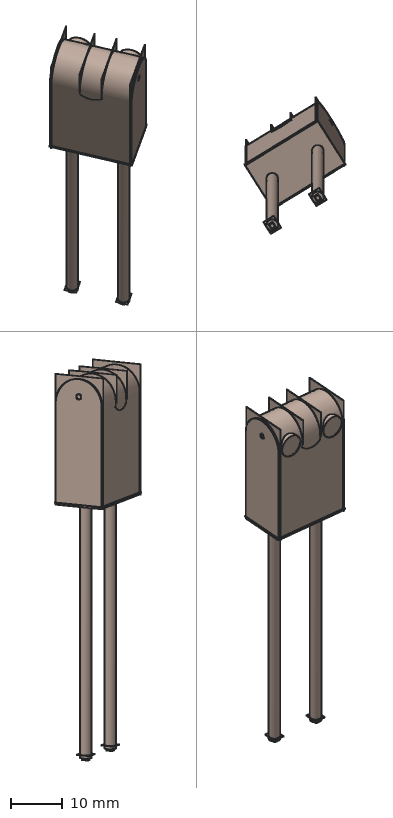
import cadquery as cq

TOTAL_HEIGHT = 76.4
HOUSING_LENGTH = 16.6
HOUSING_DEPTH = 9.9
HOUSING_BOTTOM = 50.6
DOME_SHOULDER_Z = 71.2
DOME_RISE = 4.65

FLANGE_THICKNESS = 0.1
ENVELOPE_LENGTH = 16.65
ENVELOPE_DEPTH = 10.4
END_INSET = 0.4
END_FLANGE_X = ENVELOPE_LENGTH / 2 - END_INSET
FLOOR_FLANGE_Z = HOUSING_BOTTOM + END_INSET

DIMPLE_RADIUS = 0.5
DIMPLE_DEPTH = 0.3
DIMPLE_Z = 72.35

BOSS_RADIUS = 2.3
BOSS_Z = 71.4

STRAP_WIDTH = 4.5
STRAP_THICKNESS = 0.4
STRAP_FLANGE_TOP = 76.1
TONGUE_SHOULDER_Z = 69.7
TONGUE_TIP_Z = 68.75
STRAP_FLANGE_BOTTOM = 70.6

WIRE_SPACING = 10.4
SHEATH_RADIUS = 1.15
SHEATH_BOTTOM = 0.45
CONDUCTOR_RADIUS = 0.45
COLLAR_Z = 1.1
COLLAR_LENGTH = 2.4
COLLAR_DEPTH = 2.75
FOOT_LENGTH = 0.9
FOOT_DEPTH = 1.3

WIRE_POSITIONS = [-WIRE_SPACING / 2, WIRE_SPACING / 2]


def plate(size_x, size_y, size_z, x, z_bottom):
    """Rectangular block centred on (x, 0) and standing on z_bottom."""
    return cq.Workplane("XY", origin=(x, 0, z_bottom)).rect(size_x, size_y).extrude(size_z)


def arch(inset, length, z_bottom):
    """Block with a domed top, running along X and set in from the housing's outline by inset."""
    half_depth = HOUSING_DEPTH / 2 - inset
    crown_z = DOME_SHOULDER_Z + DOME_RISE - inset
    return (
        cq.Workplane("YZ", origin=(-length / 2, 0, 0))
        .moveTo(-half_depth, z_bottom)
        .lineTo(-half_depth, DOME_SHOULDER_Z)
        .threePointArc((0, crown_z), (half_depth, DOME_SHOULDER_Z))
        .lineTo(half_depth, z_bottom)
        .close()
        .extrude(length)
    )


def make_strap():
    """Inverted U over the dome with a rounded tongue front and back."""
    half_width = STRAP_WIDTH / 2
    band = arch(0, STRAP_WIDTH, TONGUE_TIP_Z)
    band = band.cut(arch(STRAP_THICKNESS, STRAP_WIDTH, TONGUE_TIP_Z))
    outline = (
        cq.Workplane("XZ", origin=(0, ENVELOPE_DEPTH / 2, 0))
        .moveTo(-half_width, TOTAL_HEIGHT)
        .lineTo(-half_width, TONGUE_SHOULDER_Z)
        .threePointArc((0, TONGUE_TIP_Z), (half_width, TONGUE_SHOULDER_Z))
        .lineTo(half_width, TOTAL_HEIGHT)
        .close()
        .extrude(ENVELOPE_DEPTH)
    )
    strap = band.intersect(outline)
    flange_height = STRAP_FLANGE_TOP - STRAP_FLANGE_BOTTOM
    core = arch(STRAP_THICKNESS, HOUSING_LENGTH, HOUSING_BOTTOM)
    for side in (-1, 1):
        flange_x = side * (half_width - FLANGE_THICKNESS / 2)
        flange = plate(FLANGE_THICKNESS, ENVELOPE_DEPTH, flange_height, flange_x, STRAP_FLANGE_BOTTOM)
        strap = strap.union(flange.cut(core))
    return strap


def make_housing(strap):
    """Domed block with flanges, back bosses, end dimples and a recess for the strap."""
    housing = arch(0, HOUSING_LENGTH, HOUSING_BOTTOM)
    for x in WIRE_POSITIONS:
        boss = cq.Workplane("XZ", origin=(x, 0, BOSS_Z)).circle(BOSS_RADIUS).extrude(-ENVELOPE_DEPTH / 2)
        housing = housing.union(boss)
    end_height = TOTAL_HEIGHT - HOUSING_BOTTOM
    for side in (-1, 1):
        end_flange = plate(FLANGE_THICKNESS, ENVELOPE_DEPTH, end_height, side * END_FLANGE_X, HOUSING_BOTTOM)
        housing = housing.union(end_flange)
    housing = housing.union(plate(ENVELOPE_LENGTH, ENVELOPE_DEPTH, FLANGE_THICKNESS, 0, FLOOR_FLANGE_Z))
    for side in (-1, 1):
        dimple = (
            cq.Workplane("YZ", origin=(side * HOUSING_LENGTH / 2, 0, DIMPLE_Z))
            .circle(DIMPLE_RADIUS)
            .extrude(-side * DIMPLE_DEPTH)
        )
        housing = housing.cut(dimple)
    return housing.cut(strap)


def make_conductor(x):
    """Bare core of a wire, running up to the housing, with a thin foot at its tip."""
    core = cq.Workplane("XY", origin=(x, 0, 0)).circle(CONDUCTOR_RADIUS).extrude(HOUSING_BOTTOM)
    return core.union(plate(FOOT_LENGTH, FOOT_DEPTH, FLANGE_THICKNESS, x, 0))


def make_sheath(x):
    """Insulating tube around a conductor, with a thin rectangular collar near its lower end."""
    tube = (
        cq.Workplane("XY", origin=(x, 0, SHEATH_BOTTOM))
        .circle(SHEATH_RADIUS)
        .extrude(HOUSING_BOTTOM - SHEATH_BOTTOM)
    )
    tube = tube.union(plate(COLLAR_LENGTH, COLLAR_DEPTH, FLANGE_THICKNESS, x, COLLAR_Z))
    bore = cq.Workplane("XY", origin=(x, 0, 0)).circle(CONDUCTOR_RADIUS).extrude(HOUSING_BOTTOM)
    return tube.cut(bore)


strap = make_strap()
housing = make_housing(strap)
conductors = [make_conductor(x) for x in WIRE_POSITIONS]
sheaths = [make_sheath(x) for x in WIRE_POSITIONS]

wire_bodies = [body.val() for body in conductors + sheaths]
result = cq.Compound.makeCompound([housing.val(), strap.val(), *wire_bodies])